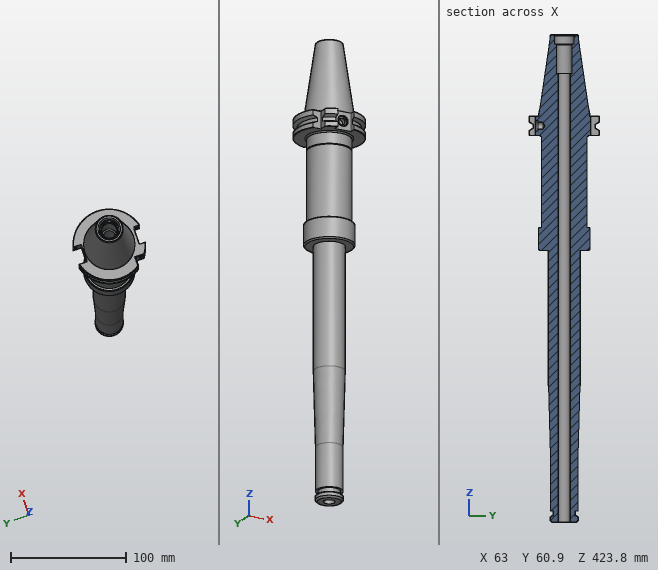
import cadquery as cq
import math

length = 423.8
top_z = length / 2
bottom_z = -length / 2

gauge_diameter = 44.5
taper_length = 69.0
taper_ratio = 7 / 24
small_end_diameter = gauge_diameter - taper_length * taper_ratio
small_end_chamfer = 1.0
gauge_z = top_z - taper_length

flange_diameter = 63.0
flange_offset = 1.5
flange_thickness = 17.0
flange_chamfer = 0.5
flange_top_z = gauge_z - flange_offset
flange_bottom_z = flange_top_z - flange_thickness
flange_mid_z = (flange_top_z + flange_bottom_z) / 2

groove_offset = 9.0
groove_z = flange_top_z - groove_offset
groove_width = 7.0
groove_floor_diameter = 56.5
groove_half_angle = math.radians(30)
groove_depth = (flange_diameter - groove_floor_diameter) / 2
groove_floor_width = groove_width - 2 * groove_depth * math.tan(groove_half_angle)

slot_width = 16.0
slot_corner_radius = 1.0
back_slot_distance = 23.0
front_slot_distance = 25.0
notch_distance = 18.2
notch_chamfer = 1.0

screw_mouth_diameter = 10.0
screw_head_diameter = 9.0
screw_head_depth = 2.0
screw_hole_diameter = 6.0
screw_hole_depth = 6.5
drill_tip_angle = math.radians(30)

body_diameter = 40.0
body_root_chamfer = 1.3
fine_groove_offset = 11.5
fine_groove_depth = 0.2
fine_groove_width = 1.0
fine_groove_top_z = flange_bottom_z - fine_groove_offset

collar_diameter = 45.0
collar_length = 20.5
collar_top_z = 44.5
collar_bottom_z = collar_top_z - collar_length
collar_top_chamfer = 1.0
collar_bottom_chamfer = 1.3

shank_diameter = 28.0
shank_taper_top_z = -91.0
nose_diameter = 24.0
nose_top_z = -161.5
nose_bottom_z = -202.0

neck_diameter = 19.5
tip_length = 6.0
tip_top_z = bottom_z + tip_length
tip_diameter = 24.5
tip_top_slope = 1.3
tip_chamfer = 1.5

bore_mouth_diameter = 19.5
bore_diameter = 17.0
bore_depth = 8.0
thread_mouth_diameter = 15.0
thread_diameter = 13.0
thread_end_depth = 34.0
through_diameter = 10.0


def revolve_profile(plane, points):
    """Turn a half profile of (radius, height) points about the plane's vertical axis."""
    return cq.Workplane(plane).polyline(points).close().revolve(360, (0, 0, 0), (0, 1, 0))


def turned_body():
    flange_r = flange_diameter / 2
    groove_r = groove_floor_diameter / 2
    body_r = body_diameter / 2
    collar_r = collar_diameter / 2
    tip_r = tip_diameter / 2
    taper = [
        (0, top_z),
        (small_end_diameter / 2 - small_end_chamfer, top_z),
        (small_end_diameter / 2, top_z - small_end_chamfer),
        (gauge_diameter / 2, gauge_z),
        (gauge_diameter / 2, flange_top_z),
    ]
    flange = [
        (flange_r - flange_chamfer, flange_top_z),
        (flange_r, flange_top_z - flange_chamfer),
        (flange_r, groove_z + groove_width / 2),
        (groove_r, groove_z + groove_floor_width / 2),
        (groove_r, groove_z - groove_floor_width / 2),
        (flange_r, groove_z - groove_width / 2),
        (flange_r, flange_bottom_z + flange_chamfer),
        (flange_r - flange_chamfer, flange_bottom_z),
    ]
    body = [
        (body_r + body_root_chamfer, flange_bottom_z),
        (body_r, flange_bottom_z - body_root_chamfer),
        (body_r, fine_groove_top_z),
        (body_r - fine_groove_depth, fine_groove_top_z - fine_groove_width / 2),
        (body_r, fine_groove_top_z - fine_groove_width),
        (body_r, collar_top_z),
    ]
    collar = [
        (collar_r - collar_top_chamfer, collar_top_z),
        (collar_r, collar_top_z - collar_top_chamfer),
        (collar_r, collar_bottom_z + collar_bottom_chamfer),
        (collar_r - collar_bottom_chamfer, collar_bottom_z),
    ]
    shank = [
        (shank_diameter / 2, collar_bottom_z),
        (shank_diameter / 2, shank_taper_top_z),
        (nose_diameter / 2, nose_top_z),
        (nose_diameter / 2, nose_bottom_z),
    ]
    tip = [
        (neck_diameter / 2, nose_bottom_z),
        (neck_diameter / 2, tip_top_z),
        (tip_r - tip_chamfer, tip_top_z),
        (tip_r, tip_top_z - tip_top_slope),
        (tip_r, bottom_z + tip_chamfer),
        (tip_r - tip_chamfer, bottom_z),
        (0, bottom_z),
    ]
    return revolve_profile("XZ", taper + flange + body + collar + shank + tip)


def stepped_bore():
    mouth_chamfer = (bore_mouth_diameter - bore_diameter) / 2
    thread_chamfer = (thread_mouth_diameter - thread_diameter) / 2
    ledge_z = top_z - bore_depth
    thread_end_z = top_z - thread_end_depth
    return revolve_profile("XZ", [
        (0, top_z),
        (bore_mouth_diameter / 2, top_z),
        (bore_diameter / 2, top_z - mouth_chamfer),
        (bore_diameter / 2, ledge_z),
        (thread_mouth_diameter / 2, ledge_z),
        (thread_diameter / 2, ledge_z - thread_chamfer),
        (thread_diameter / 2, thread_end_z),
        (through_diameter / 2, thread_end_z),
        (through_diameter / 2, bottom_z),
        (0, bottom_z),
    ])


def flange_block(x_min, x_max, y_min, y_max):
    """A block as high as the flange, used to cut it."""
    block = cq.Workplane("XY").box(x_max - x_min, y_max - y_min, flange_thickness, centered=False)
    return block.translate((x_min, y_min, flange_bottom_z))


def drive_slot(y_min, y_max, floor_side):
    block = flange_block(-slot_width / 2, slot_width / 2, y_min, y_max)
    return block.faces(floor_side).edges("|Z").fillet(slot_corner_radius)


def corner_notch():
    """Square notch through the flange, opened out by a chamfer along its upper edges."""
    outside = -flange_diameter
    notch = flange_block(outside, -notch_distance, outside, -notch_distance)
    notch_size = flange_diameter - notch_distance
    centre = (outside - notch_distance) / 2
    chamfer_cut = (
        cq.Workplane("XY", origin=(centre, centre, flange_top_z - notch_chamfer))
        .rect(notch_size, notch_size)
        .workplane(offset=notch_chamfer)
        .rect(notch_size + 2 * notch_chamfer, notch_size + 2 * notch_chamfer)
        .loft(ruled=True)
    )
    return notch.union(chamfer_cut)


def screw_hole():
    """Chamfered, stepped blind hole with a drill tip, running inward along +Y."""
    mouth_chamfer = (screw_mouth_diameter - screw_head_diameter) / 2
    tip_depth = screw_hole_diameter / 2 * math.tan(drill_tip_angle)
    hole = revolve_profile("XY", [
        (0, 0),
        (screw_mouth_diameter / 2, 0),
        (screw_head_diameter / 2, mouth_chamfer),
        (screw_head_diameter / 2, screw_head_depth),
        (screw_hole_diameter / 2, screw_head_depth),
        (screw_hole_diameter / 2, screw_hole_depth),
        (0, screw_hole_depth + tip_depth),
    ])
    return hole.translate((0, -front_slot_distance, flange_mid_z))


result = (
    turned_body()
    .cut(stepped_bore())
    .cut(drive_slot(back_slot_distance, flange_diameter, "<Y"))
    .cut(drive_slot(-flange_diameter, -front_slot_distance, ">Y"))
    .cut(corner_notch())
    .cut(screw_hole())
)